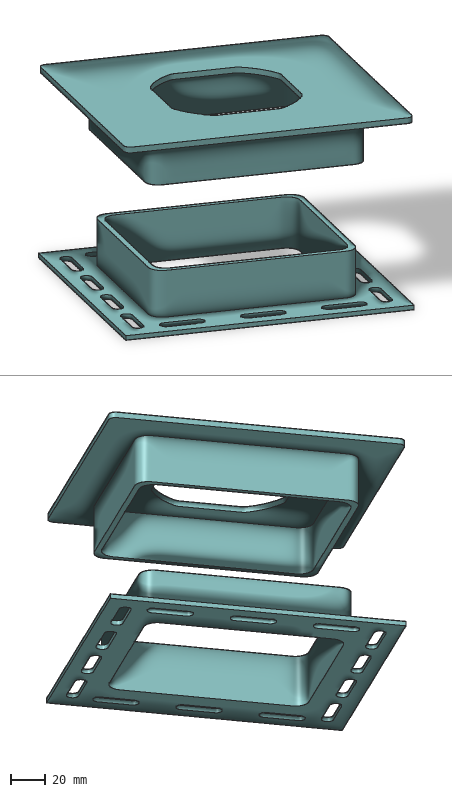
import cadquery as cq

flange_width = 159.9
flange_length = 176.7
overall_height = 118.0

lower_flange_thickness = 2.8
lower_collar_width = 109.7
lower_collar_length = 126.7
lower_collar_height = 28.6
lower_collar_radius = 8.5
lower_wall = 3.7
lower_bore_radius = 8.1

slot_length = 27.4
slot_width = 7.0
end_slot_edge_distance = 12.2
side_slot_edge_distance = 12.0
end_slot_count = 4
end_slot_pitch = 37.0
side_slot_count = 3
side_slot_pitch = 49.6

cover_thickness = 3.5
cover_corner_radius = 4.2
upper_collar_width = 117.1
upper_collar_length = 133.5
upper_collar_height = 29.2
upper_collar_radius = 8.1
upper_wall = 3.5
upper_bore_radius = 8.8

opening_diameter = 89.5
opening_across_flats = 80.0
opening_corner_radius = 7.0


def rounded_block(width, length, height, radius, base_z):
    """Centred block standing on base_z with rounded vertical edges."""
    block = cq.Workplane("XY").workplane(offset=base_z).rect(width, length).extrude(height)
    return block.edges("|Z").fillet(radius)


def collar_bore(width, length, height, radius, wall, base_z):
    """Space inside a collar of the given outer size and wall thickness."""
    return rounded_block(width - 2 * wall, length - 2 * wall, height, radius, base_z)


def centred_positions(count, pitch):
    """Evenly pitched positions, symmetric about zero."""
    return [(i - (count - 1) / 2) * pitch for i in range(count)]


def slot_row(points, angle):
    """Slot cutters through the lower flange, turned by angle from the X axis."""
    slots = cq.Workplane("XY").pushPoints(points).slot2D(slot_length, slot_width, angle)
    return slots.extrude(lower_flange_thickness)


def make_slots():
    """Slots along all four flange edges, each parallel to its edge."""
    end_y = flange_length / 2 - end_slot_edge_distance
    side_x = flange_width / 2 - side_slot_edge_distance
    end_xs = centred_positions(end_slot_count, end_slot_pitch)
    side_ys = centred_positions(side_slot_count, side_slot_pitch)
    end_points = [(x, y) for x in end_xs for y in (-end_y, end_y)]
    side_points = [(x, y) for y in side_ys for x in (-side_x, side_x)]
    end_slots = slot_row(end_points, 0)
    side_slots = slot_row(side_points, 90)
    return end_slots.union(side_slots)


def make_lower_frame():
    height = lower_flange_thickness + lower_collar_height
    flange = cq.Workplane("XY").rect(flange_width, flange_length).extrude(lower_flange_thickness)
    collar = rounded_block(lower_collar_width, lower_collar_length, height, lower_collar_radius, 0)
    bore = collar_bore(
        lower_collar_width, lower_collar_length, height, lower_bore_radius, lower_wall, 0
    )
    return flange.union(collar).cut(bore).cut(make_slots())


def make_upper_frame():
    cover_base = overall_height - cover_thickness
    collar_base = cover_base - upper_collar_height
    cover = rounded_block(flange_width, flange_length, cover_thickness, cover_corner_radius, cover_base)
    collar = rounded_block(
        upper_collar_width, upper_collar_length, upper_collar_height, upper_collar_radius, collar_base
    )
    bore = collar_bore(
        upper_collar_width, upper_collar_length, upper_collar_height,
        upper_bore_radius, upper_wall, collar_base
    )
    cover_plane = cq.Workplane("XY").workplane(offset=cover_base)
    opening_round = cover_plane.circle(opening_diameter / 2).extrude(cover_thickness)
    opening_flats = cover_plane.rect(opening_across_flats, opening_across_flats).extrude(cover_thickness)
    opening = opening_round.intersect(opening_flats).edges("|Z").fillet(opening_corner_radius)
    return cover.union(collar).cut(bore).cut(opening)


lower_frame = make_lower_frame()
upper_frame = make_upper_frame()

result = cq.Compound.makeCompound([lower_frame.val(), upper_frame.val()])